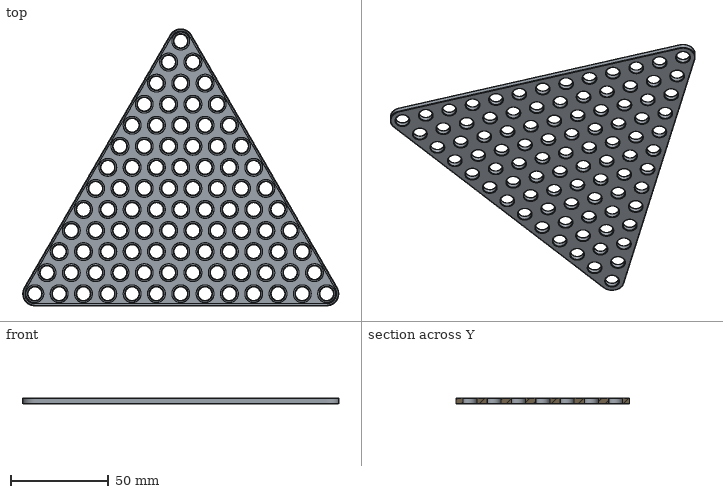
import cadquery as cq
import math

PITCH = 12.5
HOLES_PER_SIDE = 13
THICKNESS = PITCH / 4
HOLE_DIAMETER = 7.0
COLLAR_DIAMETER = 9.2
EDGE_CHAMFER = 0.3
RECESS_DEPTH = 0.2

CORNER_RADIUS = PITCH / 2
ROW_SPACING = PITCH * math.sqrt(3) / 2
SIDE_LENGTH = (HOLES_PER_SIDE - 1) * PITCH
TRIANGLE_HEIGHT = (HOLES_PER_SIDE - 1) * ROW_SPACING
RIM_WIDTH = (COLLAR_DIAMETER - HOLE_DIAMETER) / 2


def hole_centres():
    """Triangular grid of centres, each row one hole shorter than the row below."""
    centres = []
    for row in range(HOLES_PER_SIDE):
        row_start = -SIDE_LENGTH / 2 + row * PITCH / 2
        for column in range(HOLES_PER_SIDE - row):
            centres.append((row_start + column * PITCH, row * ROW_SPACING))
    return centres


def rounded_triangle(corner_radius, height):
    """Equilateral prism whose corners are rounded about the corner hole centres."""
    corner_centres = [
        (-SIDE_LENGTH / 2, 0),
        (SIDE_LENGTH / 2, 0),
        (0, TRIANGLE_HEIGHT),
    ]
    return (
        cq.Workplane("XY")
        .polyline(corner_centres)
        .close()
        .offset2D(corner_radius, "arc")
        .extrude(height)
    )


def plate():
    """Solid plate with both outer rims chamfered."""
    return rounded_triangle(CORNER_RADIUS, THICKNESS).faces("|Z").edges().chamfer(EDGE_CHAMFER)


def recess():
    """Shallow pocket inside the rim that leaves a collar around every hole."""
    collars = cq.Workplane("XY").pushPoints(hole_centres()).circle(COLLAR_DIAMETER / 2).extrude(RECESS_DEPTH)
    pocket = rounded_triangle(CORNER_RADIUS - RIM_WIDTH, RECESS_DEPTH).cut(collars)
    return pocket.translate((0, 0, THICKNESS - RECESS_DEPTH))


def hole_cutter():
    """Through hole chamfered at both faces."""
    bore_radius = HOLE_DIAMETER / 2
    mouth_radius = bore_radius + EDGE_CHAMFER
    half_profile = [
        (0, 0),
        (mouth_radius, 0),
        (bore_radius, EDGE_CHAMFER),
        (bore_radius, THICKNESS - EDGE_CHAMFER),
        (mouth_radius, THICKNESS),
        (0, THICKNESS),
    ]
    return cq.Workplane("XZ").polyline(half_profile).close().revolve(360, (0, 0), (0, 1)).val()


cutter = hole_cutter()
cutters = [cutter.translate(cq.Vector(x, y, 0)) for x, y in hole_centres()]
result = cq.Workplane(plate().cut(recess()).val().cut(*cutters))